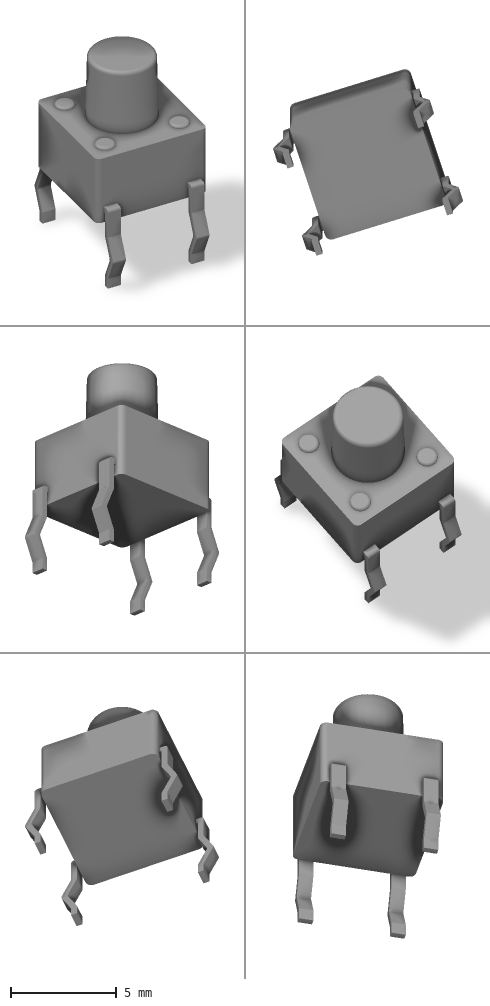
import cadquery as cq
import math

BODY_SIDE = 5.99
BODY_HEIGHT = 3.6
BODY_CORNER_RADIUS = 0.3

BUTTON_TOP_Z = 7.0
BUTTON_BASE_RADIUS = 1.75
BUTTON_TOP_RADIUS = 1.66
BUTTON_RIM_RADIUS = 0.2

RIVET_SPACING = 4.0
RIVET_RADIUS = 0.5
RIVET_HEIGHT = 0.15
RIVET_EDGE_RADIUS = 0.14

LEG_THICKNESS = 0.3
LEG_WIDTH = 0.7
LEG_SPACING = 4.5
LEG_OUTER_X = 3.4
LEG_TIP_X = 3.9
LEG_TOP_Z = 0.87
LEG_TOP_RADIUS = 0.15
LEG_BEND_RADIUS = 0.15
LEG_BOTTOM_Z = -3.51
KINK_START_Z = -0.65
KINK_END_Z = -2.95
LEG_ROOT_DEPTH = 0.2


def make_body():
    block = cq.Workplane("XY").rect(BODY_SIDE, BODY_SIDE).extrude(BODY_HEIGHT)
    return block.edges("|Z").fillet(BODY_CORNER_RADIUS)


def make_button():
    cone = (
        cq.Workplane("XY")
        .workplane(offset=BODY_HEIGHT)
        .circle(BUTTON_BASE_RADIUS)
        .workplane(offset=BUTTON_TOP_Z - BODY_HEIGHT)
        .circle(BUTTON_TOP_RADIUS)
        .loft(ruled=True)
    )
    return cone.faces(">Z").edges().fillet(BUTTON_RIM_RADIUS)


def make_rivets():
    return (
        cq.Workplane("XY")
        .workplane(offset=BODY_HEIGHT)
        .rect(RIVET_SPACING, RIVET_SPACING, forConstruction=True)
        .vertices()
        .circle(RIVET_RADIUS)
        .extrude(RIVET_HEIGHT)
        .faces(">Z")
        .edges()
        .fillet(RIVET_EDGE_RADIUS)
    )


def make_leg(center_y):
    """Leg on the +X side: a short top run, then a strip with an outward V kink."""
    kink_z = (KINK_START_Z + KINK_END_Z) / 2
    kink_angle = math.atan2(LEG_TIP_X - LEG_OUTER_X, KINK_START_Z - kink_z)
    bend_shift = LEG_THICKNESS * math.tan(kink_angle / 2)
    inner_x = LEG_OUTER_X - LEG_THICKNESS
    outer_kink_x = LEG_TIP_X + LEG_BEND_RADIUS * (1 / math.cos(kink_angle) - 1)
    inner_kink_x = outer_kink_x - LEG_THICKNESS / math.cos(kink_angle)
    root_x = BODY_SIDE / 2 - LEG_ROOT_DEPTH
    outline = [
        (root_x, LEG_TOP_Z),
        (LEG_OUTER_X, LEG_TOP_Z),
        (LEG_OUTER_X, KINK_START_Z),
        (outer_kink_x, kink_z),
        (LEG_OUTER_X, KINK_END_Z),
        (LEG_OUTER_X, LEG_BOTTOM_Z),
        (inner_x, LEG_BOTTOM_Z),
        (inner_x, KINK_END_Z + bend_shift),
        (inner_kink_x, kink_z),
        (inner_x, KINK_START_Z - bend_shift),
        (inner_x, LEG_TOP_Z - LEG_THICKNESS),
        (root_x, LEG_TOP_Z - LEG_THICKNESS),
    ]
    strip = (
        cq.Workplane("XZ", origin=(0, center_y, 0))
        .polyline(outline)
        .close()
        .extrude(LEG_WIDTH / 2, both=True)
    )
    strip = strip.faces(">Z").edges(">X").fillet(LEG_TOP_RADIUS)
    kink_region = cq.selectors.BoxSelector(
        (0, center_y - LEG_WIDTH, KINK_END_Z - LEG_THICKNESS),
        (BODY_SIDE, center_y + LEG_WIDTH, KINK_START_Z + LEG_THICKNESS),
    )
    return strip.edges("|Y").edges(kink_region).fillet(LEG_BEND_RADIUS)


result = make_body().union(make_button()).union(make_rivets())
for side_y in (-LEG_SPACING / 2, LEG_SPACING / 2):
    leg = make_leg(side_y)
    result = result.union(leg).union(leg.mirror("YZ"))